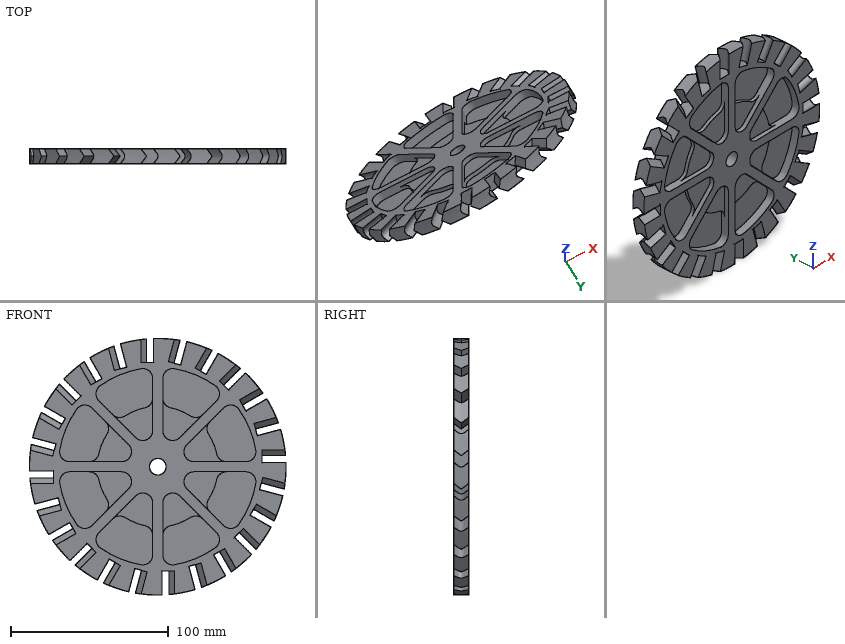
import cadquery as cq
import math

WHEEL_DIAMETER = 162.8
THICKNESS = 9.6
BORE_DIAMETER = 10.5

SPOKE_COUNT = 8
SPOKE_WIDTH = 6.3
POCKET_OUTER_RADIUS = 63.0
POCKET_CORNER_RADIUS = 6.3
STEP_RADIUS = 38.3
SHALLOW_DEPTH = 3.3
DEEP_DEPTH = 5.9

SLOT_COUNT = 24
SLOT_WIDTH = 8.0
SLOT_EDGE_OFFSET = 2.8
SLOT_FLOOR_RADIUS = 66.1
CHEVRON_RISE = 3.7
CHEVRON_FILLET_RADIUS = 3.3

WHEEL_RADIUS = WHEEL_DIAMETER / 2
FRONT_Y = -THICKNESS / 2
CUT_MARGIN = 1.6


def cylinder_y(radius, front_y, length):
    """Cylinder on the wheel axis that runs towards +Y from front_y."""
    front = cq.Workplane("XZ", origin=(0, front_y, 0))
    return front.circle(radius).extrude(-length)


def sector(depth):
    """Wedge between two neighbouring spokes, cut from the front face down to depth."""
    half_angle = math.pi / SPOKE_COUNT
    reach = WHEEL_RADIUS
    apex_radius = SPOKE_WIDTH / 2 / math.sin(half_angle)
    half_width = reach * math.tan(half_angle)
    front = cq.Workplane("XZ", origin=(0, FRONT_Y, 0))
    wedge = front.polyline(
        [(0, apex_radius), (half_width, apex_radius + reach), (-half_width, apex_radius + reach)]
    ).close().extrude(-depth)
    return wedge.intersect(cylinder_y(POCKET_OUTER_RADIUS, FRONT_Y, depth))


def pocket():
    """Stepped pocket: a shallow floor near the hub and a deeper floor near the rim."""
    shallow = sector(SHALLOW_DEPTH).edges("|Y").fillet(POCKET_CORNER_RADIUS)
    deep = sector(DEEP_DEPTH).cut(cylinder_y(STEP_RADIUS, FRONT_Y, DEEP_DEPTH))
    deep = deep.edges("|Y").fillet(POCKET_CORNER_RADIUS)
    return shallow.union(deep)


def chevron_slot():
    """V-shaped slot through the rim, with its hollow side rounded at mid thickness."""
    right = -SLOT_EDGE_OFFSET
    left = right - SLOT_WIDTH
    back_y = -FRONT_Y
    length = WHEEL_RADIUS - SLOT_FLOOR_RADIUS + CUT_MARGIN
    slot = cq.Workplane("XY", origin=(0, 0, SLOT_FLOOR_RADIUS)).polyline(
        [
            (left, FRONT_Y),
            (right, FRONT_Y),
            (right + CHEVRON_RISE, 0),
            (right, back_y),
            (left, back_y),
            (left + CHEVRON_RISE, 0),
        ]
    ).close().extrude(length)
    return slot.edges("|Z").edges(">X").fillet(CHEVRON_FILLET_RADIUS)


def cut_around(body, cutter, count, first_angle=0.0):
    """Cut evenly spaced copies of cutter around the wheel axis."""
    for index in range(count):
        angle = first_angle + index * 360.0 / count
        body = body.cut(cutter.rotate((0, 0, 0), (0, 1, 0), angle))
    return body


result = cylinder_y(WHEEL_RADIUS, FRONT_Y, THICKNESS)
result = result.cut(cylinder_y(BORE_DIAMETER / 2, FRONT_Y, THICKNESS))
result = cut_around(result, pocket(), SPOKE_COUNT, first_angle=180.0 / SPOKE_COUNT)
result = cut_around(result, chevron_slot(), SLOT_COUNT)